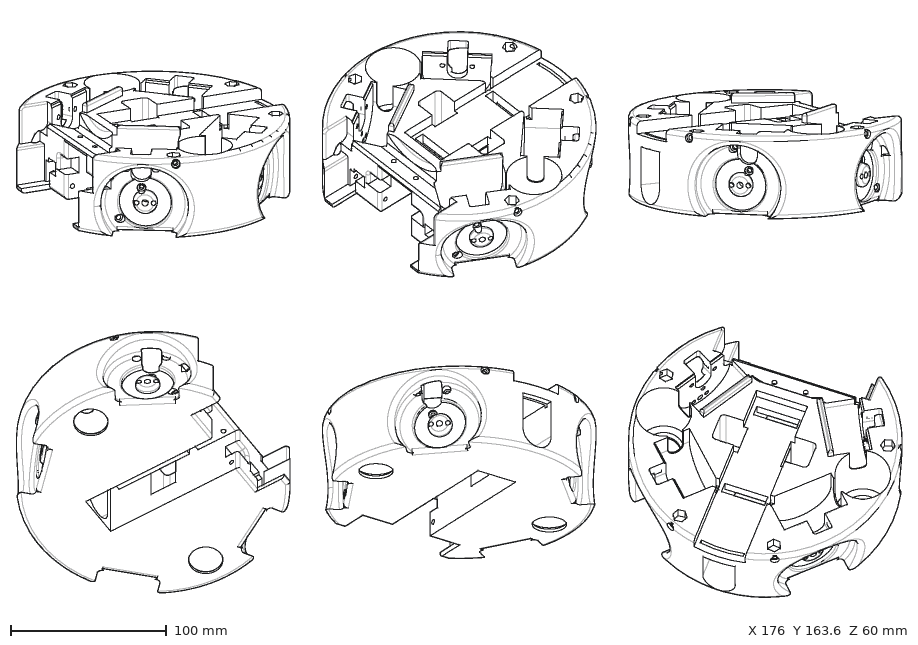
import cadquery as cq
import math

body_radius = 88.0
body_height = 54.0
total_height = 60.0
edge_round = 3.0
front_limit = -75.62
far = 200.0

channel_width = 35.0
channel_floor = 46.0
channel_front = -31.5
strap_slot_width = 29.4
strap_slot_length = 6.4
strap_slot_ys = (38.9, -21.5)
plate_slot_inner = 81.4
plate_slot_outer = 83.5

tunnel_ceiling = 38.5
tunnel_back = strap_slot_ys[0] + strap_slot_length / 2
exit_diameter = 22.0
exit_bottom = 2.7

pocket_outer = 32.8
pocket_front = -7.7
pocket_back = 11.4
pocket_floor = 17.0
pocket_floor_round = 5.0
pocket_corner_round = 3.0
window_half_width = 26.0
window_ceiling = 27.6
window_corner_round = 3.0
window_depth = 9.6
mouth_round = 2.0

well_x = 68.0
well_y = 3.8
well_diameter = 35.7
well_floor = 4.0
well_hole_diameter = 22.0
well_hole_round = 2.0

back_wheel = (135.0, 5.0)
front_wheel = (210.0, 2.6)
wheel_stations = (back_wheel, front_wheel)
wheel_z = 19.5
recess_face = 73.0
recess_radius = 28.3
recess_flare = 3.0
recess_floor_round = 2.5
recess_sill_half_width = 18.0
ring_face = 69.5
ring_radius = 16.8
ring_round = 1.0
hub_face = 73.2
hub_base_radius = 7.8
hub_round = 2.2
hub_center_hole = 4.0
hub_side_hole = 3.0
hub_side_hole_pitch = 5.5

motor_z = 36.7
bay_radius = 22.4
bay_inner = 41.0
bay_outer = 65.0
bay_lip = 1.2
pinion_width = 13.0
pinion_z = 39.2
pinion_outer = 77.5
pinion_corner_round = 1.5
motor_screw_spots = ((-9.6, 43.3), (9.6, 43.3), (0, 28.4))
motor_screw_diameter = 3.0
screw_head_diameter = 5.5
screw_head_seat = 68.0
cable_slot_width = 11.0
cable_slot_bottom = 31.0
corner_notch_half_width = 20.0
corner_notch_ys = (38.0, 44.6)
corner_notch_floor = 44.0

wall_inner = 37.4
wall_sides = (-20.2, 20.4)
wall_edge_round = 1.5
wall_foot_size = 2.0

step_back = -44.0
step_z = 43.0
step_half_width = 41.9
deck_front = -40.8
slope_top = 46.0
front_wall = -55.4
lip_size = 2.0
opening_upper_half = 52.5
opening_lower_half = 45.4
shoulder_z = 28.3
shoulder_back = -49.7
shoulder_cove_bottom = 35.0
leg_edge_round = 1.3
wall_bottom_round = 2.0
foot_front_round = 2.5
foot_half_gap = 37.9
foot_height = 3.5
trough_axis_z = 84.5
trough_radius = 34.3
trough_round = 4.2
trough_depth = 2.4
deck_hole_x = 10.7
deck_hole_y = -46.8
deck_hole_diameter = 3.0

axle_y = -50.4
axle_z = 8.6
axle_hole_diameter = 3.0
axle_head_seat = 53.0
lever_pocket_radius = 9.5
lever_pocket_sides = (37.9, 43.2)
latch_pocket_sides = (29.3, 39.5)
latch_pocket_zs = (11.5, 20.8)
latch_pocket_depth = 8.0

nut_across_flats = 8.1
nut_depth = 8.0
nut_radius = 79.0
nut_angles = (114.0, 196.3)
cover_screw_z = 50.6
cover_screw_diameter = 3.0


def box(x0, x1, y0, y1, z0, z1):
    return cq.Workplane("XY").box(x1 - x0, y1 - y0, z1 - z0, centered=False).translate((x0, y0, z0))


def both_sides(shape):
    return shape.union(shape.mirror("YZ"))


def side_profile(points, half_width):
    """Outline in (y, z), extruded symmetrically along X."""
    return cq.Workplane("YZ").polyline(points).close().extrude(half_width, both=True)


def radial_plane(angle, distance, z):
    """Plane facing outwards, with its own x pointing sideways and its own y pointing up."""
    a = math.radians(angle)
    outward = (math.cos(a), math.sin(a), 0)
    sideways = (-math.sin(a), math.cos(a), 0)
    origin = (distance * outward[0], distance * outward[1], z)
    return cq.Workplane(cq.Plane(origin=origin, xDir=sideways, normal=outward))


def disc(bottom, top):
    """Round blank whose seam lies at the back, clear of the wheel recesses."""
    blank = cq.Workplane("XY").workplane(offset=bottom).circle(body_radius).extrude(top - bottom)
    return blank.rotate((0, 0, 0), (0, 0, 1), 90)


def is_recess_rim(edge):
    on_body_surface = math.hypot(edge.startPoint().x, edge.startPoint().y) > body_radius - 0.1
    return on_body_surface and abs(edge.BoundingBox().zmax - wheel_z - recess_radius) < 0.5


def radial_offset(angle, distance):
    a = math.radians(angle)
    return (distance * math.cos(a), distance * math.sin(a), 0)


def at_wheel(shape, angle):
    """Moves a shape modelled along +Z so that it stands on the ring face of a wheel recess."""
    upright = shape.rotate((0, 0, 0), (1, 0, 0), 90).rotate((0, 0, 0), (0, 0, 1), angle + 90)
    x, y, _ = radial_offset(angle, ring_face)
    return upright.translate((x, y, wheel_z))


def round_body():
    """Disc with flared wheel recesses; the recesses are full rounds before the disc is trimmed."""
    tall = disc(-far / 2, far / 2)
    for angle, _ in wheel_stations:
        cutter = radial_plane(angle, recess_face, wheel_z).circle(recess_radius).extrude(body_radius)
        floor = cq.selectors.NearestToPointSelector((*radial_offset(angle, recess_face)[:2], wheel_z))
        cutter = cutter.faces(floor).edges().fillet(recess_floor_round)
        tall = tall.cut(both_sides(cutter))
    rims = [edge for edge in tall.edges().vals() if is_recess_rim(edge)]
    tall = tall.newObject(rims).fillet(recess_flare)
    return tall.intersect(disc(0, body_height).edges().fillet(edge_round))


def upright_wall():
    """Wall along the inner side of a front motor bay, with a coved foot on the deck."""
    angle, _ = front_wheel
    side, opposite = wall_sides
    width = opposite - side
    center = (side + opposite) / 2
    wall = radial_plane(angle, wall_inner, 0).center(center, (step_z + total_height) / 2)
    wall = wall.rect(width, total_height - step_z).extrude(bay_inner - wall_inner)
    wall = wall.edges(">Z").fillet(wall_edge_round)
    a = math.radians(angle)
    start = (-side * math.sin(a), side * math.cos(a), body_height)
    foot_plane = cq.Plane(origin=start, xDir=(math.cos(a), math.sin(a), 0), normal=(math.sin(a), -math.cos(a), 0))
    foot = cq.Workplane(foot_plane).moveTo(wall_inner, 0).lineTo(wall_inner - wall_foot_size, 0)
    foot = foot.radiusArc((wall_inner, -wall_foot_size), wall_foot_size).close().extrude(-width)
    return wall.union(foot)


def front_opening():
    upper = box(-opening_upper_half, opening_upper_half, -far, front_wall, shoulder_z, far)
    lower = box(-opening_lower_half, opening_lower_half, -far, front_wall, foot_height, far)
    gap = box(-foot_half_gap, foot_half_gap, -far, front_wall, -1, far)
    ends = box(-far, far, -far, front_limit, -1, far)
    cove_radius = shoulder_back - front_wall
    cove_side = box(-opening_upper_half, -step_half_width, front_wall, shoulder_back, shoulder_cove_bottom, far)
    cove_axis_z = shoulder_cove_bottom + cove_radius
    roller = cq.Workplane("YZ").center(front_wall, cove_axis_z).circle(cove_radius).extrude(far, both=True)
    above = box(-far, far, -far, far, cove_axis_z, far)
    cove = cove_side.intersect(roller.union(above))
    return upper.union(lower).union(gap).union(ends).union(both_sides(cove))


def front_rounding(y, radius, half_width):
    """Rounds the bottom edge of a face that looks towards -Y."""
    edge = cq.Workplane("YZ").moveTo(y, radius).radiusArc((y + radius, 0), -radius).lineTo(y, 0).close()
    return edge.extrude(half_width, both=True)


def deck_step():
    return side_profile([
        (front_wall, step_z - lip_size),
        (front_wall + lip_size, step_z),
        (step_back, step_z),
        (deck_front, slope_top),
        (deck_front, far),
        (front_wall, far),
    ], step_half_width)


def deck_trough():
    """Dished cut into the front edge of the deck, rolled over towards the front."""
    back = deck_front + trough_depth
    rim = trough_radius + trough_round
    profile = cq.Workplane("YZ").moveTo(front_wall, 0).lineTo(front_wall, rim).lineTo(deck_front, rim)
    profile = profile.radiusArc((back, trough_radius), trough_round).lineTo(back, 0).close()
    return profile.revolve(360, (0, 0, 0), (1, 0, 0)).translate((0, 0, trough_axis_z))


def channel_cut():
    half = channel_width / 2
    cut = box(-half, half, channel_front, far, channel_floor, far)
    slot_half = strap_slot_width / 2
    for y in strap_slot_ys:
        half_length = strap_slot_length / 2
        cut = cut.union(box(-slot_half, slot_half, y - half_length, y + half_length, -1, far))
    plate = cq.Workplane("XY").circle(plate_slot_outer).circle(plate_slot_inner).extrude(channel_floor)
    plate = plate.intersect(box(-slot_half, slot_half, 0, far, tunnel_ceiling - 2, far))
    return cut.union(plate)


def tunnel_cut():
    half = strap_slot_width / 2
    tunnel = box(-half, half, -far, tunnel_back, -1, tunnel_ceiling)
    r = exit_diameter / 2
    center_z = exit_bottom + r
    exit_slot = box(-r, r, 0, far, center_z, tunnel_ceiling)
    bottom = cq.Workplane("XZ").center(0, center_z).circle(r).extrude(-far)
    return tunnel.union(exit_slot).union(bottom)


def pocket_cut():
    half = strap_slot_width / 2
    pocket = box(-pocket_outer, -half, pocket_front, pocket_back, pocket_floor, far)
    pocket = pocket.edges("|Z and <X").fillet(pocket_corner_round)
    rounding = pocket_floor_round
    corner = box(-pocket_outer, -pocket_outer + rounding, pocket_front, pocket_back,
                 pocket_floor, pocket_floor + rounding)
    roller = cq.Workplane("XZ").circle(rounding).extrude(far, both=True)
    roller = roller.translate((-pocket_outer + rounding, 0, pocket_floor + rounding))
    pocket = pocket.cut(corner.cut(roller))
    return both_sides(pocket)


def window_cut():
    """Side windows of the front wall, open to the tunnel between them."""
    back = front_wall + window_depth
    window = box(-window_half_width, window_half_width, -far, back, pocket_floor, window_ceiling)
    return window.edges("|Y and >Z").fillet(window_corner_round)


def well_cut():
    well = cq.Workplane("XY").workplane(offset=well_floor).circle(well_diameter / 2).extrude(far)
    hole = cq.Workplane("XY").workplane(offset=-1).circle(well_hole_diameter / 2).extrude(well_floor + 2)
    lead_in = cq.Workplane("XY").workplane(offset=well_floor - well_hole_round)
    lead_in = lead_in.circle(well_hole_diameter / 2)
    lead_in = lead_in.workplane(offset=well_hole_round).circle(well_hole_diameter / 2 + well_hole_round).loft()
    return both_sides(well.union(hole).union(lead_in).translate((-well_x, well_y, 0)))


def motor_cut(angle, shift):
    """Motor bay, pinion slot and the three motor screw holes of one wheel station."""
    top = total_height + 1
    bay_length = bay_outer - bay_inner
    base = radial_plane(angle, bay_inner, motor_z).center(shift, 0)
    bay = base.circle(bay_radius).extrude(bay_length)
    shaft = base.center(0, (top - motor_z) / 2).rect(2 * bay_radius, top - motor_z).extrude(bay_length)
    lip = radial_plane(angle, bay_outer, body_height).center(shift, 0)
    lip = lip.rect(2 * bay_radius, 2 * bay_lip).workplane(offset=-bay_lip).rect(2 * bay_radius, 4 * bay_lip)
    lip = lip.loft().translate(radial_offset(angle, bay_lip))
    pinion_base = radial_plane(angle, bay_inner, pinion_z).center(shift, 0)
    pinion = pinion_base.circle(pinion_width / 2).extrude(recess_face - bay_inner)
    slot = pinion_base.center(0, (top - pinion_z) / 2).rect(pinion_width, top - pinion_z)
    slot = slot.extrude(pinion_outer - bay_inner).edges("|Z").fillet(pinion_corner_round)
    cut = bay.union(shaft).union(lip).union(pinion).union(slot)
    for x, z in motor_screw_spots:
        hole = radial_plane(angle, bay_inner, z).center(shift + x, 0).circle(motor_screw_diameter / 2)
        head = radial_plane(angle, screw_head_seat, z).center(shift + x, 0).circle(screw_head_diameter / 2)
        cut = cut.union(hole.extrude(recess_face - bay_inner)).union(head.extrude(hub_face - screw_head_seat))
    return cut


def cable_slot(angle):
    """Round-bottomed slot from the left well sideways into a motor bay, open at the top."""
    a = math.radians(angle)
    radius = cable_slot_width / 2
    inward = math.copysign(1, well_x * math.sin(a) + well_y * math.cos(a))
    direction = (inward * math.sin(a), -inward * math.cos(a), 0)
    axis_z = cable_slot_bottom + radius
    plane = cq.Plane(origin=(-well_x, well_y, axis_z), xDir=(-direction[1], direction[0], 0), normal=direction)
    slot = cq.Workplane(plane).circle(radius).extrude(well_diameter)
    rise = body_height - axis_z
    opening = cq.Workplane(plane).center(0, rise / 2).rect(cable_slot_width, rise).extrude(well_diameter)
    return both_sides(slot.union(opening))


def ring_cut(angle):
    """Ring recess around the hub boss, and the holes through the boss."""
    depth = recess_face - ring_face
    profile = cq.Workplane("XZ").lineTo(ring_radius, 0).lineTo(ring_radius, depth - ring_round)
    profile = profile.radiusArc((ring_radius + ring_round, depth), ring_round).lineTo(0, depth).close()
    ring = profile.revolve(360, (0, 0, 0), (0, 1, 0))
    holes = cq.Workplane("XY").workplane(offset=bay_inner - ring_face).circle(hub_center_hole / 2)
    holes = holes.extrude(body_radius - bay_inner)
    sides = cq.Workplane("XY").workplane(offset=bay_outer - ring_face - 1)
    sides = sides.pushPoints([(-hub_side_hole_pitch, 0), (hub_side_hole_pitch, 0)])
    sides = sides.circle(hub_side_hole / 2).extrude(body_radius - bay_outer)
    return both_sides(at_wheel(ring, angle)), both_sides(at_wheel(holes.union(sides), angle))


def hub_boss(angle):
    hub = cq.Workplane("XY").circle(hub_base_radius).extrude(hub_face - ring_face)
    return both_sides(at_wheel(hub.faces(">Z").edges().fillet(hub_round), angle))


def recess_sill(angle):
    """Rounds the bottom edge of the recess face."""
    sill = cq.Workplane("YZ").moveTo(recess_face, edge_round)
    sill = sill.radiusArc((recess_face - edge_round, 0), edge_round).lineTo(recess_face, 0).close()
    sill = sill.extrude(recess_sill_half_width, both=True)
    return both_sides(sill.rotate((0, 0, 0), (0, 0, 1), angle - 90))


def axle_cut():
    """Axle hole along X with sunk heads, and the pockets around it in the front wall."""
    axle = cq.Workplane("YZ").center(axle_y, axle_z)
    hole = axle.circle(axle_hole_diameter / 2).extrude(body_radius)
    head = axle.workplane(offset=axle_head_seat).circle(screw_head_diameter / 2).extrude(body_radius - axle_head_seat)
    near, outer = lever_pocket_sides
    lever = axle.workplane(offset=near).circle(lever_pocket_radius).extrude(outer - near)
    lever = lever.union(box(near, outer, -far, axle_y, foot_height, axle_z + lever_pocket_radius))
    lever = lever.intersect(box(near, outer, -far, far, foot_height, far))
    latch_back = front_wall + latch_pocket_depth
    latch = box(*latch_pocket_sides, front_wall - 1, latch_back, *latch_pocket_zs)
    return both_sides(hole.union(head).union(lever).union(latch))


def corner_notch():
    """Links the channel with the inner corners of the back motor bays."""
    inner = channel_width / 2
    return both_sides(box(inner, corner_notch_half_width, *corner_notch_ys, corner_notch_floor, far))


def cover_screw_cut(angle):
    a = math.radians(angle)
    nut = cq.Workplane("XY").polygon(6, nut_across_flats / math.cos(math.pi / 6)).extrude(nut_depth + 1)
    nut = nut.rotate((0, 0, 0), (0, 0, 1), angle)
    nut = nut.translate((nut_radius * math.cos(a), nut_radius * math.sin(a), body_height - nut_depth))
    hole = radial_plane(angle, nut_radius, cover_screw_z).circle(cover_screw_diameter / 2).extrude(far)
    head = radial_plane(angle, body_radius - 2, cover_screw_z).circle(screw_head_diameter / 2).extrude(far)
    return both_sides(nut.union(hole).union(head))


def deck_holes():
    holes = cq.Workplane("XY").pushPoints([(-deck_hole_x, deck_hole_y), (deck_hole_x, deck_hole_y)])
    return holes.circle(deck_hole_diameter / 2).extrude(far)


def is_mouth_edge(edge):
    """Edges of the tunnel and window openings in the front wall."""
    b = edge.BoundingBox()
    on_wall = abs(b.ymin - front_wall) < 0.01 and abs(b.ymax - front_wall) < 0.01
    near_middle = max(abs(b.xmin), abs(b.xmax)) < window_half_width + 0.1
    is_window_floor = abs(b.zmax - pocket_floor) < 0.01 and b.zlen < 0.01
    above_underside = b.zmax > 0.1
    return on_wall and near_middle and above_underside and b.zmax < tunnel_ceiling + 0.1 and not is_window_floor


def is_leg_edge(edge):
    """Inner edges of the legs: along the shoulder, and upright above it where the wall meets the opening."""
    b = edge.BoundingBox()
    x = max(abs(b.xmin), abs(b.xmax))
    along_shoulder = abs(x - opening_lower_half) < 0.01 and b.zlen < 0.01 and abs(b.zmin - shoulder_z) < 0.01
    upright = abs(x - opening_upper_half) < 0.01 and b.ylen < 0.01 and b.zlen > 5 and b.ymax < front_wall - 5
    return b.xlen < 0.01 and (along_shoulder or upright)


result = round_body()
result = result.cut(front_opening())
result = result.newObject([e for e in result.edges().vals() if is_leg_edge(e)]).fillet(leg_edge_round)
result = result.cut(front_rounding(front_limit, foot_front_round, opening_lower_half + 2))
result = result.cut(tunnel_cut()).cut(window_cut())
result = result.newObject([e for e in result.edges().vals() if is_mouth_edge(e)]).fillet(mouth_round)
result = result.cut(front_rounding(front_wall, wall_bottom_round, foot_half_gap))
result = result.cut(deck_step()).cut(deck_trough())
result = result.union(both_sides(upright_wall()))
result = result.cut(channel_cut()).cut(corner_notch()).cut(pocket_cut()).cut(well_cut())
for wheel_angle, motor_shift in wheel_stations:
    ring, hub_holes = ring_cut(wheel_angle)
    result = result.cut(ring).union(hub_boss(wheel_angle)).cut(hub_holes)
    result = result.cut(both_sides(motor_cut(wheel_angle, motor_shift)))
    result = result.cut(cable_slot(wheel_angle))
    result = result.cut(recess_sill(wheel_angle))
for nut_angle in nut_angles:
    result = result.cut(cover_screw_cut(nut_angle))
result = result.cut(axle_cut()).cut(deck_holes())